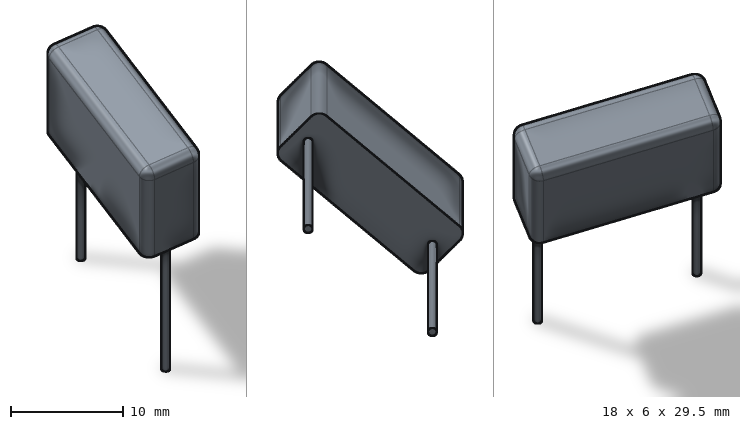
import cadquery as cq

body_length = 18.0
body_width = 6.0
body_height = 11.5
edge_radius = 1.0

lead_diameter = 0.8
lead_pitch = 15.0
overall_height = 29.5
lead_length = overall_height - body_height


def make_body():
    """Box with rounded upright and top edges and a sharp underside."""
    box = cq.Workplane("XY").box(
        body_length, body_width, body_height, centered=(True, True, False)
    )
    return box.edges("|Z or >Z").fillet(edge_radius)


def make_leads():
    """Two round wires hanging from the underside, spaced along X."""
    lead_positions = [(-lead_pitch / 2, 0), (lead_pitch / 2, 0)]
    return (
        cq.Workplane("XY")
        .pushPoints(lead_positions)
        .circle(lead_diameter / 2)
        .extrude(-lead_length)
    )


result = make_body().union(make_leads())